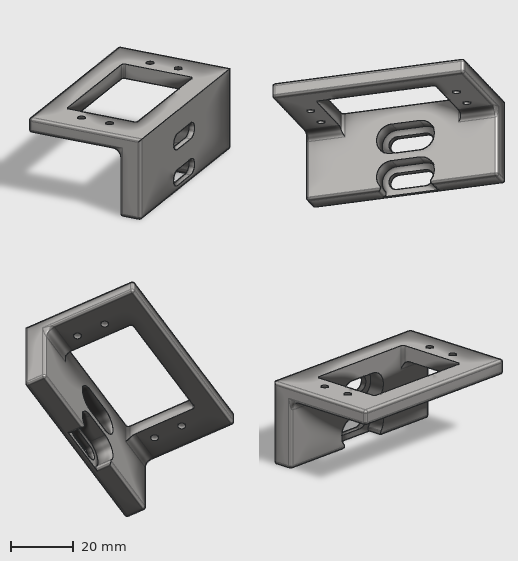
import cadquery as cq

length_x = 40.0
width_y = 65.0
height_z = 28.0
plate_thickness = 5.0
wall_thickness = 7.5
edge_radius = 1.0
inner_radius = 3.0

window_margin_x = wall_thickness
window_margin_y = 12.3
window_corner_radius = 1.0

hole_diameter = 2.5
hole_positions_x = (15.0, 25.0)
hole_margin_y = 7.8

slot_center_y = -1.25
slot_heights = (4.75, 17.3)
slot_length = 15.0
slot_width = 5.5
recess_margin = 2.3
recess_depth = 5.5

wall_face_x = length_x - wall_thickness
plate_bottom_z = height_z - plate_thickness


def make_body():
    """L-shaped body with all edges sharp."""
    profile = [
        (0, height_z),
        (length_x, height_z),
        (length_x, 0),
        (wall_face_x, 0),
        (wall_face_x, plate_bottom_z),
        (0, plate_bottom_z),
    ]
    return cq.Workplane("XZ").polyline(profile).close().extrude(width_y / 2, both=True)


def round_outer_edges(body):
    """Round the outer edges and recess mouth; keep the top +X edge and recess floor sharp."""
    recess_floor = cq.selectors.NearestToPointSelector((wall_face_x + recess_depth, slot_center_y, 0))
    return body.faces("<X or <Y or >Y or <Z").edges(cq.Selector() - recess_floor).fillet(edge_radius)


def round_inner_corner(body):
    """Concave fillet where the plate meets the wall."""
    inner_corner = cq.selectors.NearestToPointSelector((wall_face_x, 0, plate_bottom_z))
    return body.edges(inner_corner).fillet(inner_radius)


def make_window():
    """Rounded opening that also trims the inner corner fillet below the plate."""
    size_x = length_x - 2 * window_margin_x
    size_y = width_y - 2 * window_margin_y
    block = cq.Workplane("XY").box(size_x, size_y, height_z, centered=(True, True, False))
    return block.edges("|Z").fillet(window_corner_radius).translate((length_x / 2, 0, 0))


def make_screw_holes():
    hole_y = width_y / 2 - hole_margin_y
    centers = [(x, y) for x in hole_positions_x for y in (-hole_y, hole_y)]
    return cq.Workplane("XY").pushPoints(centers).circle(hole_diameter / 2).extrude(height_z)


def make_slot(center_z, length, width, depth):
    """Round-ended cutter running from the inner face of the wall along +X."""
    plane = cq.Workplane("YZ", origin=(wall_face_x, slot_center_y, center_z))
    return plane.slot2D(length, width).extrude(depth)


result = make_body()
for slot_z in slot_heights:
    recess_length = slot_length + 2 * recess_margin
    recess_width = slot_width + 2 * recess_margin
    result = result.cut(make_slot(slot_z, recess_length, recess_width, recess_depth))

result = round_inner_corner(round_outer_edges(result))
result = result.cut(make_window()).cut(make_screw_holes())
for slot_z in slot_heights:
    result = result.cut(make_slot(slot_z, slot_length, slot_width, wall_thickness))